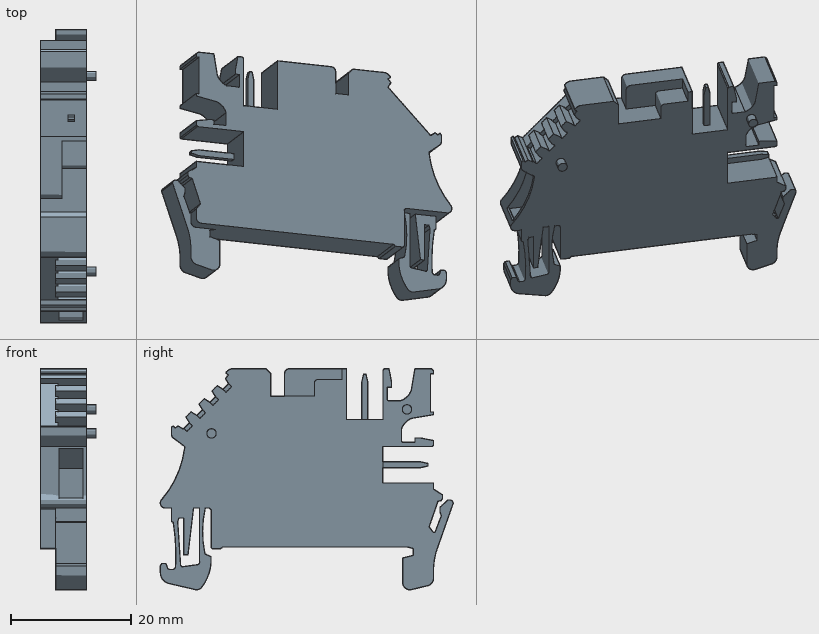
import cadquery as cq


HOUSING_WIDTH = 7.7
LENGTH = 48.65
TOP = 36.7
BACK = 45.35
BOTTOM = 7.1
FOOT_X = 2.55

EDGE_BEVEL = 0.35
LIP_Y = 1.85
FRONT_END = 8.45
NOSE_BOTTOM = 13.55
NOSE_ROUND = 0.85
FRONT_FILLET = 0.5
TOE_DEPTH = 0.3
HEEL_ROUND = 0.88

LEVER_TOP = 14.95
LEVER_ROUND = 0.6
CLIP_FRONT = 40.2
CLIP_NOTCH = 41.95
CLIP_NOTCH_END = 41.0
CLIP_JOINT_Z = 9.55
LOOP_BACK = 6.5
LOOP_TOP = 11.9
TONGUE_FRONT = 3.9
TONGUE_END = 5.8

RECESS_DEPTH = 0.5
RECESS_BOTTOM = 29.5
RECESS_TOP = 35.85

SLOT_WIDTH = 6.05
SLOT_DEPTH = 8.4
SLOT_WALL_Y = BACK - SLOT_DEPTH
SLOT_WALL_Z = 23.8
CATCH_WALL = 0.75
CATCH_NOSE = 1.45
CATCH_TIP = 1.0
NOSE_START = 2.3
NOSE_END = 3.1
NOTCH_DEPTH = 5.3
NOTCH_WIDTH = 5.25
NOTCH_BEND_WIDTH = 4.65
NOTCH_BEND_DEPTH = 3.65
NOTCH_FLOOR_END = 2.95
NOTCH_CURVE_MID = (4.65, 4.0)

SOCKET_ROUND = 0.2

PIN_SIZE = 1.0
PIN_X = 5.1
PIN_LENGTH = 7.5
PIN_TAPER = 1.25
PIN_TIP = 0.45

MARKER_FRONT = 18.4
MARKER_BACK = 20.6
MARKER_FLOOR = 32.15
MARKER_CHAMFER = 0.85
MARKER_ROUND = 0.85
LEDGE_X = 3.55
LEDGE_WALL = 0.75
LEDGE_Z = 34.9
LEDGE_END = 25.6
LEDGE_ROUND = 0.65

SLOPE_TOP_Y = 11.35
SLOPE_TOP_Z = 34.25
SLOPE_DROP = 7.55
RIB_COUNT = 3
RIB_PITCH = 3.05
RIB_BASE = 1.75
RIB_GAP = RIB_PITCH - RIB_BASE
RIB_FLANK = 0.25
RIB_HEIGHT = 1.05
GROOVE_X = 2.9
GROOVE_DEPTH = 0.75

FUNNEL_X = 3.1
FUNNEL_WIDTH = 3.95
FUNNEL_TOP = 24.2
FUNNEL_END = 7.8
FUNNEL_FLOOR = 15.08
FUNNEL_LIP = 15.2

PEG_DIAMETER = 1.55
PEG_LENGTH = 1.55
PEG_CENTRES = [(40.95, 29.95), (8.5, 25.95)]


def side_profile(start_x):
    """Sketch plane for (Y, Z) profiles that are extruded towards +X."""
    return cq.Workplane("YZ", origin=(start_x, 0, 0))


UPPER_SOCKET = cq.Plane(origin=(PIN_X, SLOT_WALL_Y, TOP), xDir=(0, 0, -1), normal=(1, 0, 0))
BACK_SOCKET = cq.Plane(origin=(PIN_X, BACK, SLOT_WALL_Z), xDir=(0, -1, 0), normal=(-1, 0, 0))
SOCKETS = [UPPER_SOCKET, BACK_SOCKET]


def housing_blank():
    """Outline of the housing, before sockets and other cuts."""
    return (
        side_profile(0)
        .moveTo(BACK - EDGE_BEVEL, TOP)
        .lineTo(11.9, TOP)
        .threePointArc((11.5, 36.55), (11.15, 36.35))
        .lineTo(10.95, 36.15)
        .lineTo(10.95, 35.95)
        .lineTo(11.3, 35.65)
        .lineTo(10.8, 35.05)
        .lineTo(SLOPE_TOP_Y, SLOPE_TOP_Z)
        .lineTo(SLOPE_TOP_Y - SLOPE_DROP, SLOPE_TOP_Z - SLOPE_DROP)
        .lineTo(2.95, 27.25)
        .lineTo(2.5, 26.9)
        .lineTo(2.15, 27.25)
        .lineTo(LIP_Y, 27.0)
        .lineTo(LIP_Y, 25.75)
        .threePointArc((1.95, 25.45), (2.25, 25.15))
        .lineTo(4.0, 23.85)
        .threePointArc((4.05, 23.75), (4.05, 23.6))
        .threePointArc((2.67, 18.75), (0.15, 14.9))
        .threePointArc((0, NOSE_BOTTOM + NOSE_ROUND), (NOSE_ROUND, NOSE_BOTTOM))
        .lineTo(FRONT_END - FRONT_FILLET, NOSE_BOTTOM)
        .radiusArc((FRONT_END, NOSE_BOTTOM - FRONT_FILLET), FRONT_FILLET)
        .lineTo(FRONT_END, BOTTOM)
        .radiusArc((FRONT_END + TOE_DEPTH, BOTTOM - TOE_DEPTH), -TOE_DEPTH)
        .lineTo(10.0, BOTTOM - TOE_DEPTH)
        .lineTo(10.35, BOTTOM)
        .lineTo(BACK - HEEL_ROUND, BOTTOM)
        .radiusArc((BACK, BOTTOM + HEEL_ROUND), -HEEL_ROUND)
        .lineTo(BACK, 9.5)
        .lineTo(44.65, 10.45)
        .lineTo(46.1, 14.7)
        .lineTo(46.6, 14.8)
        .lineTo(46.9, 15.15)
        .lineTo(46.9, 15.75)
        .lineTo(BACK, 16.75)
        .lineTo(BACK, TOP - EDGE_BEVEL)
        .close()
        .extrude(HOUSING_WIDTH)
    )


def socket_cut(frame):
    """Pin slot and, beyond the catch arm, the hooked notch behind it."""
    slot = (
        cq.Workplane(frame)
        .moveTo(0, SOCKET_ROUND)
        .radiusArc((SOCKET_ROUND, 0), SOCKET_ROUND)
        .lineTo(SLOT_DEPTH, 0)
        .lineTo(SLOT_DEPTH, -SLOT_WIDTH)
        .lineTo(0, -SLOT_WIDTH)
        .close()
        .extrude(HOUSING_WIDTH, both=True)
    )
    notch = (
        cq.Workplane(frame)
        .moveTo(0, CATCH_TIP)
        .lineTo(NOSE_START, CATCH_NOSE)
        .lineTo(NOSE_END, CATCH_NOSE)
        .lineTo(NOSE_END, CATCH_WALL)
        .lineTo(NOTCH_DEPTH - SOCKET_ROUND, CATCH_WALL)
        .radiusArc((NOTCH_DEPTH, CATCH_WALL + SOCKET_ROUND), -SOCKET_ROUND)
        .lineTo(NOTCH_DEPTH, NOTCH_FLOOR_END)
        .threePointArc(NOTCH_CURVE_MID, (NOTCH_BEND_DEPTH, NOTCH_BEND_WIDTH))
        .lineTo(SOCKET_ROUND, NOTCH_WIDTH)
        .radiusArc((0, NOTCH_WIDTH + SOCKET_ROUND), SOCKET_ROUND)
        .close()
        .extrude(HOUSING_WIDTH, both=True)
    )
    return slot.union(notch)


def back_recess():
    """Shallow recess in the back face between the two sockets."""
    return (
        side_profile(0)
        .moveTo(BACK, RECESS_BOTTOM)
        .lineTo(BACK - RECESS_DEPTH, RECESS_BOTTOM)
        .lineTo(BACK - RECESS_DEPTH, RECESS_TOP)
        .lineTo(BACK, RECESS_TOP)
        .close()
        .extrude(HOUSING_WIDTH)
    )


def marker_slot():
    """Slot across the top face, rounded on one edge and chamfered on the other."""
    return (
        side_profile(0)
        .moveTo(MARKER_FRONT - MARKER_CHAMFER, TOP)
        .lineTo(MARKER_FRONT, TOP - MARKER_CHAMFER)
        .lineTo(MARKER_FRONT, MARKER_FLOOR)
        .lineTo(MARKER_BACK, MARKER_FLOOR)
        .lineTo(MARKER_BACK, TOP - MARKER_ROUND)
        .radiusArc((MARKER_BACK + MARKER_ROUND, TOP), MARKER_ROUND)
        .close()
        .extrude(HOUSING_WIDTH)
    )


def ledge_cut():
    """Lowers the +X part of the block between the upper socket and the marker slot."""
    wall_y = SLOT_WALL_Y - SLOT_WIDTH - LEDGE_WALL
    return (
        side_profile(LEDGE_X)
        .moveTo(wall_y, TOP)
        .lineTo(wall_y, LEDGE_Z)
        .lineTo(LEDGE_END + LEDGE_ROUND, LEDGE_Z)
        .radiusArc((LEDGE_END, LEDGE_Z - LEDGE_ROUND), -LEDGE_ROUND)
        .lineTo(LEDGE_END, MARKER_FLOOR)
        .lineTo(MARKER_FRONT, MARKER_FLOOR)
        .lineTo(MARKER_FRONT, TOP - MARKER_CHAMFER)
        .lineTo(MARKER_BACK, TOP)
        .close()
        .extrude(HOUSING_WIDTH - LEDGE_X)
    )


def slope_profile(start_x):
    """Sketch plane on the slope: local x runs down the slope, local y points outwards."""
    down_slope = (0, -1, -1)
    frame = cq.Plane(origin=(start_x, SLOPE_TOP_Y, SLOPE_TOP_Z), xDir=down_slope, normal=(-1, 0, 0))
    return cq.Workplane(frame)


def grip_rib(index):
    """One trapezoidal rib across the slope."""
    start = RIB_GAP + index * RIB_PITCH
    return (
        slope_profile(FOOT_X)
        .moveTo(start, 0)
        .lineTo(start + RIB_FLANK, RIB_HEIGHT)
        .lineTo(start + RIB_BASE - RIB_FLANK, RIB_HEIGHT)
        .lineTo(start + RIB_BASE, 0)
        .close()
        .extrude(FOOT_X - HOUSING_WIDTH)
    )


def grip_groove(index):
    """One sunken gap above a rib; the last one lies below the lowest rib."""
    start = index * RIB_PITCH
    return (
        slope_profile(GROOVE_X)
        .moveTo(start, 0)
        .lineTo(start, -GROOVE_DEPTH)
        .lineTo(start + RIB_GAP, -GROOVE_DEPTH)
        .lineTo(start + RIB_GAP, 0)
        .close()
        .extrude(GROOVE_X - HOUSING_WIDTH)
    )


def wire_funnel():
    """Tapering pocket that leads a wire into the concave front."""
    return (
        side_profile(FUNNEL_X)
        .moveTo(0, FUNNEL_TOP)
        .lineTo(3.1, FUNNEL_TOP)
        .lineTo(7.2, 20.7)
        .lineTo(FUNNEL_END, 20.15)
        .lineTo(FUNNEL_END, 17.3)
        .lineTo(7.3, FUNNEL_FLOOR)
        .lineTo(0.85, FUNNEL_FLOOR)
        .lineTo(0.85, FUNNEL_LIP)
        .lineTo(0, FUNNEL_LIP)
        .close()
        .extrude(FUNNEL_WIDTH)
    )


def rail_clip():
    """Fixed foot at the back with its release lever."""
    return (
        side_profile(FOOT_X)
        .moveTo(BACK - HEEL_ROUND, CLIP_JOINT_Z)
        .lineTo(45.55, CLIP_JOINT_Z)
        .lineTo(46.65, 12.3)
        .lineTo(46.4, 12.95)
        .lineTo(46.4, 13.65)
        .lineTo(47.6, 14.85)
        .threePointArc((47.8, 14.95), (LENGTH - LEVER_ROUND, LEVER_TOP))
        .radiusArc((LENGTH, LEVER_TOP - LEVER_ROUND), LEVER_ROUND)
        .lineTo(46.2, 7.45)
        .threePointArc((45.6, 5.55), (BACK, 3.65))
        .lineTo(BACK, 1.85)
        .threePointArc((45.05, 1.05), (44.15, 0.65))
        .lineTo(41.6, 0)
        .threePointArc((40.65, 0.3), (CLIP_FRONT, 1.1))
        .lineTo(CLIP_FRONT, 5.3)
        .lineTo(CLIP_NOTCH, 5.75)
        .lineTo(CLIP_NOTCH, 6.85)
        .lineTo(CLIP_NOTCH_END, BOTTOM)
        .lineTo(CLIP_NOTCH_END, CLIP_JOINT_Z)
        .close()
        .extrude(HOUSING_WIDTH - FOOT_X)
    )


def spring_foot():
    """Spring foot under the nose, with a hanging stop tongue inside its loop."""
    body = (
        side_profile(FOOT_X)
        .moveTo(7.5, NOSE_BOTTOM)
        .threePointArc((7.05, 9.75), (7.45, 6.0))
        .lineTo(FRONT_END, 5.5)
        .threePointArc((8.05, 2.65), (6.9, 0.45))
        .threePointArc((6.45, 0.1), (5.95, 0))
        .lineTo(1.3, 1.05)
        .threePointArc((0.35, 1.8), (0, 2.85))
        .lineTo(0, 4.0)
        .lineTo(0.25, 4.4)
        .lineTo(0.95, 4.4)
        .lineTo(1.25, 3.55)
        .lineTo(1.5, 3.4)
        .lineTo(2.0, 3.4)
        .threePointArc((2.4, 3.55), (2.55, 3.95))
        .threePointArc((2.55, 7.6), (2.15, 11.2))
        .lineTo(LIP_Y, 11.4)
        .lineTo(LIP_Y, NOSE_BOTTOM)
        .close()
        .extrude(HOUSING_WIDTH - FOOT_X)
    )
    loop = (
        side_profile(FOOT_X)
        .moveTo(LOOP_BACK, NOSE_BOTTOM)
        .lineTo(LOOP_BACK, 4.65)
        .threePointArc((6.4, 4.35), (6.1, 4.2))
        .lineTo(3.6, 3.85)
        .lineTo(3.4, 4.1)
        .lineTo(2.9, 11.35)
        .lineTo(3.1, LOOP_TOP)
        .lineTo(TONGUE_FRONT, LOOP_TOP)
        .lineTo(TONGUE_FRONT, TONGUE_END)
        .lineTo(4.6, TONGUE_END)
        .lineTo(5.55, NOSE_BOTTOM)
        .close()
        .extrude(HOUSING_WIDTH - FOOT_X)
    )
    return body.cut(loop)


def locating_peg(y, z):
    """Round peg on the +X side."""
    return side_profile(HOUSING_WIDTH).center(y, z).circle(PEG_DIAMETER / 2).extrude(PEG_LENGTH)


def make_housing():
    body = housing_blank()
    for frame in SOCKETS:
        body = body.cut(socket_cut(frame))
    body = body.cut(back_recess()).cut(marker_slot()).cut(ledge_cut()).cut(wire_funnel())
    for index in range(RIB_COUNT + 1):
        body = body.cut(grip_groove(index))
    for index in range(RIB_COUNT):
        body = body.union(grip_rib(index))
    body = body.union(rail_clip()).union(spring_foot())
    for y, z in PEG_CENTRES:
        body = body.union(locating_peg(y, z))
    return body


def make_contact_pin(frame):
    """Square pin with a tapered tip, standing on the floor of its slot."""
    middle = -SLOT_WIDTH / 2
    tip_depth = SLOT_DEPTH - PIN_LENGTH
    return (
        cq.Workplane(frame)
        .moveTo(SLOT_DEPTH, middle - PIN_SIZE / 2)
        .lineTo(tip_depth + PIN_TAPER, middle - PIN_SIZE / 2)
        .lineTo(tip_depth, middle - PIN_TIP / 2)
        .lineTo(tip_depth, middle + PIN_TIP / 2)
        .lineTo(tip_depth + PIN_TAPER, middle + PIN_SIZE / 2)
        .lineTo(SLOT_DEPTH, middle + PIN_SIZE / 2)
        .close()
        .extrude(PIN_SIZE / 2, both=True)
    )


housing = make_housing()
contact_pins = [make_contact_pin(frame) for frame in SOCKETS]

result = cq.Compound.makeCompound([housing.val(), *[pin.val() for pin in contact_pins]])